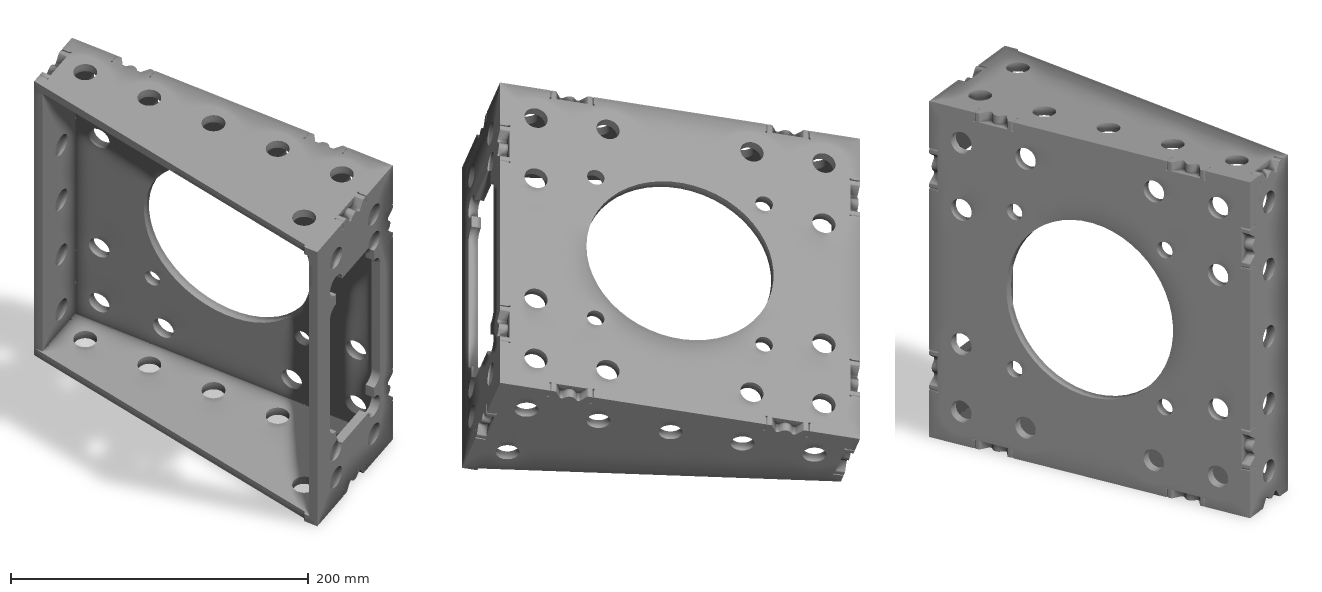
import cadquery as cq

size = 250.0
half = size / 2
thickness = 6.5
deep_wall = 100.0
shallow_wall = 50.0
inner = half - thickness
back_y = deep_wall / 2
root_y = back_y - thickness
front_y = -deep_wall / 2
shallow_front_y = back_y - shallow_wall
step_width = 10.8
step_fillet = 1.2

pitch = 50.0
outer_row = 2 * pitch
hole_row_y = back_y - pitch / 2
hole_diameter = 16.0
row_positions = [step * pitch for step in range(-2, 3)]

bore_diameter = 130.0
screw_diameter = 12.0
screw_offset = 58.5

window_half_y = 25.0
window_half_z = 75.0
window_arc_diameter = 16.2
bay_half_z = 50.0

joint_offset = 75.0
slot_half = 15.0
clearance = 0.2
tab_half = slot_half - clearance
relief_radius = 0.8
horn_top_inner = 11.0
horn_root_inner = 6.8
horn_fillet = 1.2
bump_root = 5.0
bump_flank = 2.0
bump_height = 3.2

UP = cq.Vector(0, 0, 1)
RIGHT = cq.Vector(1, 0, 0)
REARWARD = cq.Vector(0, 1, 0)


def edge_frame(root, outward, normal):
    """Plane at the middle of a joint root: local y points out of the edge, z through the plate."""
    return cq.Plane(origin=root, xDir=outward.cross(normal), normal=normal)


def root_reliefs(frame):
    """Round reliefs on the two root corners of a joint."""
    corners = [(-slot_half, 0), (slot_half, 0)]
    return cq.Workplane(frame).pushPoints(corners).circle(relief_radius).extrude(thickness)


def toothed_tab(frame):
    """Tab of two horns with a round-topped bump between them."""
    bump_shoulder = bump_root - bump_flank
    tab = (
        cq.Workplane(frame)
        .moveTo(-tab_half, -thickness)
        .lineTo(-tab_half, thickness)
        .lineTo(-horn_top_inner, thickness)
        .lineTo(-horn_root_inner, 0)
        .lineTo(-bump_root, 0)
        .lineTo(-bump_shoulder, bump_flank)
        .threePointArc((0, bump_height), (bump_shoulder, bump_flank))
        .lineTo(bump_root, 0)
        .lineTo(horn_root_inner, 0)
        .lineTo(horn_top_inner, thickness)
        .lineTo(tab_half, thickness)
        .lineTo(tab_half, -thickness)
        .close()
        .extrude(thickness)
    )
    horn_corners = []
    for side in (-1, 1):
        horn_corners += [
            (side * tab_half, thickness),
            (side * horn_top_inner, thickness),
            (side * horn_root_inner, 0),
        ]
    across = cq.selectors.ParallelDirSelector(frame.zDir)
    for x, y in horn_corners:
        corner = frame.toWorldCoords((x, y, thickness / 2))
        nearest = cq.NearestToPointSelector(corner.toTuple())
        tab = tab.edges(across).edges(nearest).fillet(horn_fillet)
    return tab


def add_tab(plate, root, outward, normal):
    frame = edge_frame(root, outward, normal)
    return plate.union(toothed_tab(frame)).cut(root_reliefs(frame))


def cut_slot(plate, root, outward, normal):
    frame = edge_frame(root, outward, normal)
    slot = (
        cq.Workplane(frame)
        .center(0, thickness / 2)
        .rect(2 * slot_half, thickness)
        .extrude(thickness)
    )
    return plate.cut(slot).cut(root_reliefs(frame))


def drill(plate, plane, points, diameter):
    holes = cq.Workplane(plane).pushPoints(points).circle(diameter / 2).extrude(thickness)
    return plate.cut(holes)


shallow_joint_y = (root_y + shallow_front_y) / 2
deep_joint_y = (back_y + front_y) / 2


def make_back_plate():
    plane = cq.Plane(origin=(0, back_y, 0), xDir=(1, 0, 0), normal=(0, -1, 0))
    plate = cq.Workplane(plane).rect(size, size).extrude(thickness)
    plate = drill(plate, plane, [(0, 0)], bore_diameter)
    signs = [(sx, sz) for sx in (-1, 1) for sz in (-1, 1)]
    screws = [(sx * screw_offset, sz * screw_offset) for sx, sz in signs]
    plate = drill(plate, plane, screws, screw_diameter)
    for x, z in [(outer_row, outer_row), (pitch, outer_row), (outer_row, pitch)]:
        plate = drill(plate, plane, [(sx * x, sz * z) for sx, sz in signs], hole_diameter)
    for side in (-1, 1):
        for offset in (-joint_offset, joint_offset):
            plate = cut_slot(plate, (offset, back_y, side * inner), UP * side, -REARWARD)
            plate = cut_slot(plate, (side * inner, back_y, offset), RIGHT * side, -REARWARD)
    return plate


def make_end_plate(bottom_z):
    """Tapered top or bottom plate whose lower face is at bottom_z."""
    plane = cq.Plane(origin=(0, 0, bottom_z), xDir=(1, 0, 0), normal=(0, 0, 1))
    step_x = half - step_width
    taper = (front_y - shallow_front_y) / size
    step_y = shallow_front_y + taper * (step_x + half)
    plate = (
        cq.Workplane(plane)
        .polyline([
            (-half, root_y),
            (-half, shallow_front_y),
            (step_x, step_y),
            (step_x, front_y),
            (half, front_y),
            (half, root_y),
        ])
        .close()
        .extrude(thickness)
    )
    step_corner = cq.NearestToPointSelector((step_x, front_y, bottom_z + thickness / 2))
    plate = plate.edges("|Z").edges(step_corner).fillet(step_fillet)
    holes = [(x, hole_row_y) for x in row_positions]
    holes.append((outer_row, hole_row_y - pitch))
    plate = drill(plate, plane, holes, hole_diameter)
    for x in (-joint_offset, joint_offset):
        plate = add_tab(plate, (x, root_y, bottom_z), REARWARD, UP)
    plate = cut_slot(plate, (-inner, shallow_joint_y, bottom_z), -RIGHT, UP)
    return cut_slot(plate, (inner, deep_joint_y, bottom_z), RIGHT, UP)


def make_side_wall(plane, wall_front_y, joint_y):
    """Plain rectangular side wall with tabs on its back edge and on both ends."""
    left_x = plane.origin.x
    depth = root_y - wall_front_y
    wall = (
        cq.Workplane(plane)
        .center((root_y + wall_front_y) / 2, 0)
        .rect(depth, 2 * inner)
        .extrude(thickness)
    )
    for side in (-1, 1):
        wall = add_tab(wall, (left_x, root_y, side * joint_offset), REARWARD, RIGHT)
        wall = add_tab(wall, (left_x, joint_y, side * inner), UP * side, RIGHT)
    return wall


def side_plane(left_x):
    return cq.Plane(origin=(left_x, 0, 0), xDir=(0, 1, 0), normal=(1, 0, 0))


def make_shallow_wall():
    plane = side_plane(-half)
    wall = make_side_wall(plane, shallow_front_y, shallow_joint_y)
    holes = [(hole_row_y, z) for z in row_positions]
    return drill(wall, plane, holes, hole_diameter)


def make_deep_wall():
    plane = side_plane(inner)
    wall = make_side_wall(plane, front_y, deep_joint_y)
    corners = [(y, side) for y in (-window_half_y, window_half_y) for side in (-1, 1)]
    wall = drill(wall, plane, [(y, side * outer_row) for y, side in corners], hole_diameter)
    window = cq.Workplane(plane).rect(2 * window_half_y, 2 * window_half_z).extrude(thickness)
    bays = (
        cq.Workplane(plane)
        .rect(2 * window_half_y + window_arc_diameter, 2 * bay_half_z)
        .extrude(thickness)
    )
    wall = wall.cut(window).cut(bays)
    wall = drill(wall, plane, [(y, side * window_half_z) for y, side in corners], hole_diameter)
    return drill(wall, plane, [(y, side * bay_half_z) for y, side in corners], window_arc_diameter)


back_plate = make_back_plate()
end_plates = [make_end_plate(bottom_z) for bottom_z in (-half, inner)]
shallow_side = make_shallow_wall()
deep_side = make_deep_wall()

result = cq.Compound.makeCompound([
    back_plate.val(),
    *[plate.val() for plate in end_plates],
    shallow_side.val(),
    deep_side.val(),
])